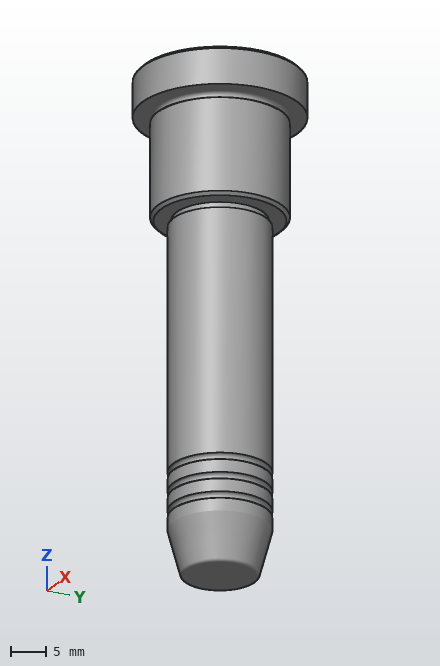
import cadquery as cq
import math

total_length = 77.0
head_height = 6.0
shoulder_length = 16.0

head_radius = 12.5
shoulder_radius = 10.0
pin_radius = 7.5

edge_chamfer = 0.5
tip_fillet = 0.5

groove_radius = 0.5
groove_width = 2 * groove_radius
groove_count = 3
groove_pitch = 3.0
lowest_groove_top_z = 10.0

relief_width = 1.0
relief_depth = 0.5

taper_length = 7.0
taper_angle = math.radians(15)

head_bottom_z = total_length - head_height
shoulder_bottom_z = head_bottom_z - shoulder_length
tip_radius = pin_radius - taper_length * math.tan(taper_angle)


def cylinder(radius, bottom_z, top_z):
    """Solid cylinder on the Z axis between two heights."""
    return cq.Workplane("XY").workplane(offset=bottom_z).circle(radius).extrude(top_z - bottom_z)


def revolve_about_z(profile):
    """Full turn of a closed XZ profile; the sketch's local Y axis is the part's Z axis."""
    return profile.revolve(360, (0, 0, 0), (0, 1, 0))


def make_head():
    """Head disc with its top edge chamfered."""
    head = cylinder(head_radius, head_bottom_z, total_length)
    return head.faces(">Z").chamfer(edge_chamfer)


def make_shoulder():
    """Shoulder with its bottom edge chamfered."""
    shoulder = cylinder(shoulder_radius, shoulder_bottom_z, head_bottom_z)
    return shoulder.faces("<Z").chamfer(edge_chamfer)


def make_pin():
    """Pin with a conical lead-in and a rounded tip edge."""
    profile = (
        cq.Workplane("XZ")
        .lineTo(tip_radius, 0)
        .lineTo(pin_radius, taper_length)
        .lineTo(pin_radius, shoulder_bottom_z)
        .lineTo(0, shoulder_bottom_z)
        .close()
    )
    pin = revolve_about_z(profile)
    return pin.faces("<Z").edges().fillet(tip_fillet)


def make_groove(surface_radius, top_z):
    """Ring cutter with a semicircular floor."""
    profile = (
        cq.Workplane("XZ")
        .moveTo(surface_radius, top_z)
        .threePointArc(
            (surface_radius - groove_radius, top_z - groove_radius),
            (surface_radius, top_z - groove_width),
        )
        .close()
    )
    return revolve_about_z(profile)


def make_relief(surface_radius, top_z):
    """Ring cutter with a flat floor."""
    ring = cylinder(surface_radius, top_z - relief_width, top_z)
    return ring.cut(cylinder(surface_radius - relief_depth, top_z - relief_width, top_z))


result = make_head().union(make_shoulder()).union(make_pin())
result = result.cut(make_groove(shoulder_radius, head_bottom_z))
result = result.cut(make_relief(pin_radius, shoulder_bottom_z))
for index in range(groove_count):
    result = result.cut(make_groove(pin_radius, lowest_groove_top_z + index * groove_pitch))